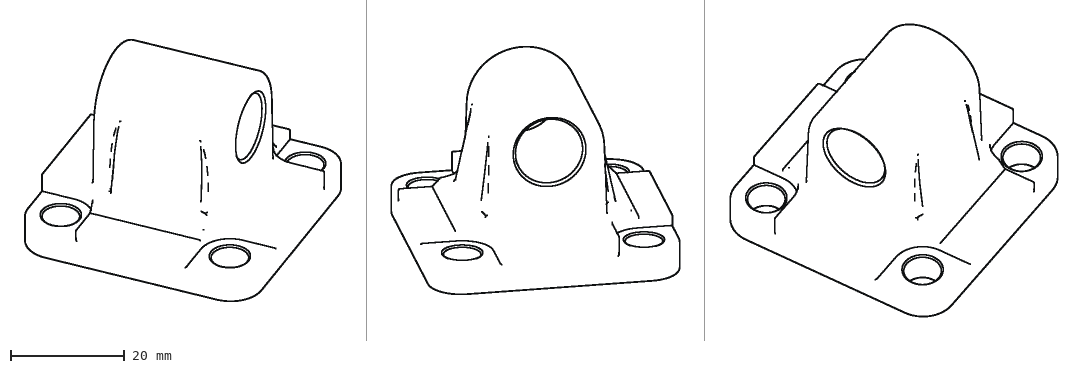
import cadquery as cq
import math

tolerance = 0.005

plate_side = 45.0
plate_height = 9.0
plate_corner_radius = 6.0
plate_edge_round = 0.3

ledge_height = 7.5
slope_top_y = 15.0
slope_bottom_y = slope_top_y + plate_height - ledge_height

hole_offset = 16.25
hole_diameter = 6.6
hole_chamfer = 0.3
pocket_floor = 5.5
pocket_radius = 5.6

foot_height = pocket_floor

boss_length = 26.0
boss_radius = 10.0
bore_height = 22.0
bore_diameter = 12.0
bore_chamfer = 0.5
boss_draft = 2.0
boss_edge_round = 1.0

rib_width = 17.0
rib_slope = 12.0
rib_edge_round = 1.0

boss_root_fillet = 0.5
rib_root_fillet = 1.0

flank_blend = 1.0
flank_blend_top = 23.62
flank_sections = 8
flank_overlap = 0.45


def corner_points(offset):
    return [(sx * offset, sy * offset) for sx in (-1, 1) for sy in (-1, 1)]


def make_pocket_cutter(x, y):
    """Square cutter over the corner hole at (x, y), its inner corner rounded about the hole axis."""
    reach = plate_side
    sx = math.copysign(1, x)
    sy = math.copysign(1, y)
    cutter = cq.Workplane("XY").box(reach, reach, plate_height, centered=(True, True, False))
    cutter = cutter.edges("|Z").fillet(pocket_radius)
    shift = hole_offset - pocket_radius + reach / 2
    return cutter.translate((sx * shift, sy * shift, pocket_floor))


def is_rounded_plate_edge(edge):
    """True for the convex edges of the plate, apart from the seams of its round corners."""
    center = edge.Center()
    nearer, farther = sorted((abs(center.x), abs(center.y)))
    on_outline = farther > plate_side / 2 - tolerance or nearer > hole_offset
    if edge.tangentAt(0).cross(cq.Vector(0, 0, 0.45)).Length < tolerance:
        beside_pocket = nearer < hole_offset - pocket_radius + tolerance
        return on_outline and beside_pocket
    if abs(center.z - pocket_floor) < tolerance:
        return on_outline
    is_slope_foot = nearer < tolerance and abs(farther - slope_bottom_y) < tolerance
    return not is_slope_foot


def make_plate():
    half_side = plate_side / 2
    slope_profile = [
        (-half_side, 0),
        (half_side, 0),
        (half_side, ledge_height),
        (slope_bottom_y, ledge_height),
        (slope_top_y, plate_height),
        (-slope_top_y, plate_height),
        (-slope_bottom_y, ledge_height),
        (-half_side, ledge_height),
    ]
    plate = (
        cq.Workplane("YZ")
        .polyline(slope_profile)
        .close()
        .extrude(half_side, both=True)
        .edges("|Z and (<X or >X)")
        .fillet(plate_corner_radius)
    )
    for x, y in corner_points(hole_offset):
        plate = plate.cut(make_pocket_cutter(x, y))
    rounded_edges = [edge for edge in plate.edges().vals() if is_rounded_plate_edge(edge)]
    return plate.newObject(rounded_edges).fillet(plate_edge_round)


def profile_half_width(angle, z):
    """Distance from the XZ plane to the tangent profile at height z."""
    lean = math.radians(angle)
    tangent_z = bore_height + boss_radius * math.sin(lean)
    if z > tangent_z:
        return math.sqrt(boss_radius**2 - (z - bore_height) ** 2)
    return boss_radius * math.cos(lean) + (tangent_z - z) * math.tan(lean)


def tangent_profile(angle):
    """Round-topped YZ outline whose straight sides lean out by the angle from vertical."""
    lean = math.radians(angle)
    tangent_y = boss_radius * math.cos(lean)
    tangent_z = bore_height + boss_radius * math.sin(lean)
    foot_y = profile_half_width(angle, foot_height)
    return (
        cq.Workplane("YZ")
        .moveTo(-foot_y, foot_height)
        .lineTo(-tangent_y, tangent_z)
        .threePointArc((0, bore_height + boss_radius), (tangent_y, tangent_z))
        .lineTo(foot_y, foot_height)
        .close()
    )


def make_boss():
    boss = tangent_profile(boss_draft).extrude(boss_length / 2, both=True)
    return boss.faces("<X or >X").edges("not <Z").fillet(boss_edge_round)


def make_ribs():
    ribs = tangent_profile(rib_slope).extrude(rib_width / 2, both=True)
    return ribs.faces("<X or >X").edges("not <Z").fillet(rib_edge_round)


def flank_blend_wire(z):
    """Blend section at height z: its arc runs from the boss wall to the rib flank or its edge round."""
    wall_y = profile_half_width(boss_draft, z)
    depth = profile_half_width(rib_slope, z) - wall_y
    round_x = rib_width / 2 - rib_edge_round
    reach = rib_edge_round + flank_blend
    drop = max(reach - depth, 0)
    angle = math.asin(drop / reach)
    center_x = round_x + reach * math.cos(angle)
    center_y = wall_y + flank_blend

    def arc_point(direction):
        x = center_x - flank_blend * math.cos(direction)
        y = center_y - flank_blend * math.sin(direction)
        return (x, y)

    rib_end = arc_point(angle)
    wall_end = arc_point(math.pi / 2)
    return (
        cq.Workplane("XY", origin=(0, 0, z))
        .moveTo(*wall_end)
        .threePointArc(arc_point((angle + math.pi / 2) / 2), rib_end)
        .lineTo(round_x, rib_end[1])
        .lineTo(round_x, wall_y - flank_overlap)
        .lineTo(center_x, wall_y - flank_overlap)
        .close()
        .val()
    )


def make_flank_blend():
    full_depth = rib_edge_round + flank_blend
    foot_depth = profile_half_width(rib_slope, foot_height) - profile_half_width(boss_draft, foot_height)
    depth_rate = math.tan(math.radians(rib_slope)) - math.tan(math.radians(boss_draft))
    transition = foot_height + (foot_depth - full_depth) / depth_rate
    step = (flank_blend_top - transition) / (flank_sections - 1)
    upper_wires = [flank_blend_wire(transition + index * step) for index in range(flank_sections)]
    lower_wires = [flank_blend_wire(foot_height), flank_blend_wire(transition)]
    lower = cq.Workplane(cq.Solid.makeLoft(lower_wires))
    return lower.union(cq.Workplane(cq.Solid.makeLoft(upper_wires)))


def make_flank_blends():
    blend = make_flank_blend()
    pair = blend.union(blend.mirror("YZ"))
    return pair.union(pair.mirror("XZ"))


def add_with_root_fillet(plate, part, radius):
    """Join a part to the plate and round its foot where it rises from the plate top."""
    joined = plate.union(part)
    reach_x = boss_length / 2 + tolerance
    reach_y = profile_half_width(rib_slope, plate_height) + tolerance
    foot = cq.selectors.BoxSelector(
        (-reach_x, -reach_y, plate_height - tolerance),
        (reach_x, reach_y, plate_height + tolerance),
        boundingbox=True,
    )
    return joined.edges(foot).fillet(radius)


def chamfered_hole(diameter, length, chamfer):
    """Cutter along +Z from the origin, with a flare at its far end."""
    radius = diameter / 2
    half_section = [
        (0, 0),
        (radius, 0),
        (radius, length - chamfer),
        (radius + chamfer, length),
        (0, length),
    ]
    return cq.Workplane("XZ").polyline(half_section).close().revolve(360, (0, 0, 0), (0, 1, 0))


def cut_holes(body):
    half_bore = chamfered_hole(bore_diameter, boss_length / 2, bore_chamfer)
    half_bore = half_bore.rotate((0, 0, 0), (0, 1, 0), 90).translate((0, 0, bore_height))
    body = body.cut(half_bore.union(half_bore.mirror("YZ")))
    mounting_hole = chamfered_hole(hole_diameter, pocket_floor, hole_chamfer)
    for x, y in corner_points(hole_offset):
        body = body.cut(mounting_hole.translate((x, y, 0)))
    return body


plate = make_plate()
plate_with_boss = add_with_root_fillet(plate, make_boss(), boss_root_fillet)
plate_with_ribs = add_with_root_fillet(plate, make_ribs(), rib_root_fillet)
body = plate_with_boss.union(plate_with_ribs).union(make_flank_blends())
result = cut_holes(body)